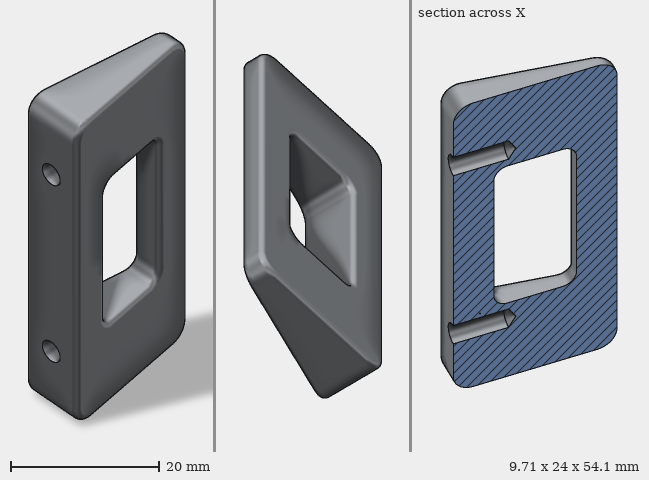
import cadquery as cq
import math

height = 54.1
depth = 24.0
front_thickness = 9.95
back_thickness = 3.35
corner_radius = 3.0
edge_radius = 0.8

window_width = 12.0
window_height = 26.0
window_corner_radius = 2.0

hole_diameter = 3.4
hole_spacing = 32.0
hole_depth = 8.1
drill_tip_angle = 118.0


def rounded_bar(width, tall, radius):
    """Rounded rectangle in the YZ plane, extending across the whole thickness."""
    return (
        cq.Workplane("YZ")
        .rect(width, tall)
        .extrude(front_thickness, both=True)
        .edges("|X")
        .fillet(radius)
    )


def wedge():
    """Symmetric trapezoid in plan, extruded to full height."""
    return (
        cq.Workplane("XY")
        .polyline([
            (-front_thickness / 2, -depth / 2),
            (front_thickness / 2, -depth / 2),
            (back_thickness / 2, depth / 2),
            (-back_thickness / 2, depth / 2),
        ])
        .close()
        .extrude(height / 2, both=True)
    )


def drilled_hole(z):
    """Blind hole along +Y with a conical drill tip."""
    radius = hole_diameter / 2
    tip_length = radius / math.tan(math.radians(drill_tip_angle / 2))
    front = -depth / 2
    bottom = front + hole_depth
    return (
        cq.Workplane("XY")
        .polyline([
            (0, front),
            (radius, front),
            (radius, bottom),
            (0, bottom + tip_length),
        ])
        .close()
        .revolve(360, (0, 0, 0), (0, 1, 0))
        .translate((0, 0, z))
    )


body = wedge().intersect(rounded_bar(depth, height, corner_radius))
body = body.cut(rounded_bar(window_width, window_height, window_corner_radius))

body = body.faces("<X or >X").edges().fillet(edge_radius)

for side in (-1, 1):
    body = body.cut(drilled_hole(side * hole_spacing / 2))

result = body